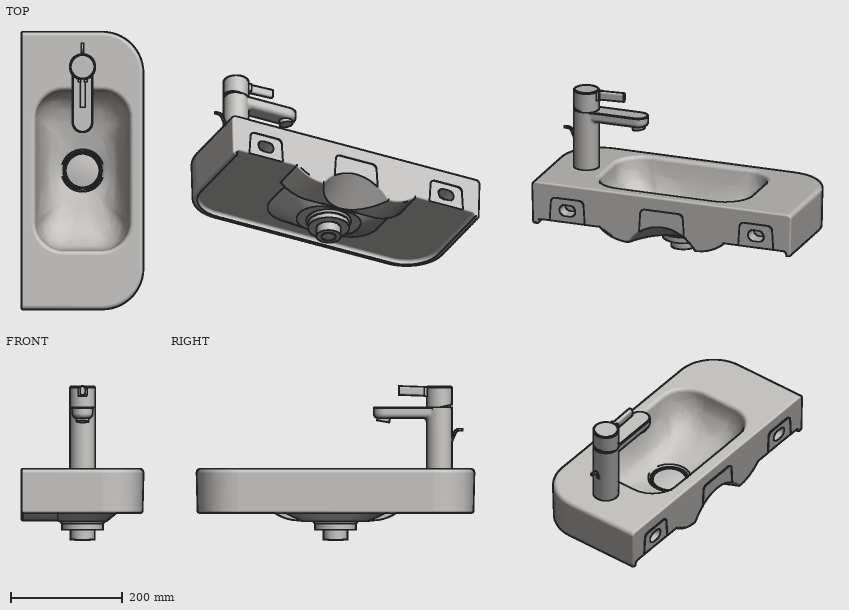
import cadquery as cq
import math


LENGTH = 500.0
DEPTH = 220.0
BLOCK_HEIGHT = 80.0
CORNER_RADIUS = 75.0
DRAFT_ANGLE = 1.4
DECK_EDGE_RADIUS = 8.0
RIM_EDGE_RADIUS = 4.5
BACK_EDGE_RADIUS = 3.5
BACK_OVERRUN = 25.0
MID_X = DEPTH / 2

SELECTION_MARGIN = 0.5

RIM_WIDTH = 11.0
FLOOR_Z = -71.5
RIM_FILLET = 5.0

MOUTH_HALF_X = 93.0
MOUTH_HALF_Y = 151.5
MOUTH_CORNER_RADIUS = 59.0
MOUTH_STRAIGHT_X = MOUTH_HALF_X - MOUTH_CORNER_RADIUS
MOUTH_STRAIGHT_Y = MOUTH_HALF_Y - MOUTH_CORNER_RADIUS
LIP_RADIUS = 7.0
THROAT_HALF_X = MOUTH_HALF_X - LIP_RADIUS
THROAT_HALF_Y = MOUTH_HALF_Y - LIP_RADIUS
BOWL_THROAT = (0.0, THROAT_HALF_X, THROAT_HALF_Y, MOUTH_STRAIGHT_X, THROAT_HALF_X, MOUTH_STRAIGHT_Y)
BOWL_MIDDLE = (-45.0, 74.0, 130.5, 27.5, 70.0, 80.0)
BOWL_FOOT = (-79.0, 49.0, 67.0, 9.0, 35.5, 56.0)

WEB_OVERLAP = 5.0
BOWL_SHELL_FOOT_Z = -95.0
BOWL_SHELL_TOP = (77.5, 117.5, 55.0, FLOOR_Z + WEB_OVERLAP)
BOWL_SHELL_FOOT = (42.5, 59.0, 41.0, BOWL_SHELL_FOOT_Z)

DRAIN_MOUTH_DIAMETER = 76.5
DRAIN_MOUTH_Z = -86.0
DRAIN_SEAT_DIAMETER = 70.0
DRAIN_SEAT_Z = -89.5
BOSS_DIAMETER = 74.0
BOSS_FLARE_DIAMETER = 81.0
BOSS_FLARE_BOTTOM_Z = -99.5
BOSS_BOTTOM_Z = -110.0
DRAIN_CUP_DIAMETER = 64.0
DRAIN_CUP_FLOOR_Z = -95.5
DRAIN_SEAT_BOTTOM_Z = BOSS_FLARE_BOTTOM_Z
TAIL_DIAMETER = 44.0
TAIL_BOTTOM_Z = -127.5
PLUG_DIAMETER = 60.0
PLUG_EDGE_Z = -90.0
PLUG_DOME_RISE = 3.0
STEM_DIAMETER = 26.0
STEM_BOTTOM_Z = -129.0

LOBE_OUTER_Y = 120.0
LOBE_MIDDLE = (93.0, -88.5)
LOBE_INNER_Y = 68.0
LOBE_BOTTOM_Z = -93.5
LOBE_REACH = 65.0
NOTCH_TOP_Z = -55.0
NOTCH_RADIUS = 81.5
NOTCH_SLOPE = 31.0
PAD_TOP_Z = -26.0
PAD_HALF_WIDTH = 34.0
CENTRE_PAD_HALF_WIDTH = 43.5
PAD_SIDE_LEAN = 3.0
PAD_CORNER_RADIUS = 9.0
PAD_RECESS = 1.5
MOUNT_Y = 181.5
MOUNT_Z = -48.5
MOUNT_SLOT_LENGTH = 30.5
MOUNT_SLOT_HEIGHT = 21.0
MOUNT_SLOT_DEPTH = 30.0

TAP_Y = 186.5
TAP_DIAMETER = 46.0
TAP_TOP_Z = 110.0
NECK_DIAMETER = 40.0
NECK_TOP_Z = 117.5
NECK_ROOT_DEPTH = 5.0
SPOUT_WIDTH = 36.5
SPOUT_END_Y = 68.5
SPOUT_BOTTOM_Z = 90.5
SPOUT_TOP_CHAMFER = 1.5
SPOUT_BOTTOM_RADIUS = 8.5
SPOUT_ROOT_RADIUS = 6.0
AERATOR_DIAMETER = 23.0
AERATOR_Y = 85.5
AERATOR_TILT = 10.0
AERATOR_BOTTOM_Z = 84.5
AERATOR_LENGTH = 12.5

KNOB_TOP_Z = 147.5
KNOB_CHAMFER = 2.0
KNOB_GAP = 5.0
LEVER_WIDTH = 9.0
LEVER_TIP_Y = 114.0
LEVER_TIP_TOP_Z = 148.5
LEVER_TIP_BOTTOM_Z = 132.0
LEVER_ROOT_TOP_Z = 146.0
LEVER_ROOT_BOTTOM_Z = 129.5
LEVER_EDGE_RADIUS = 4.0
COLLAR_WIDTH = 16.0
COLLAR_REACH = 4.0
COLLAR_RADIUS = 3.0

ROD_DIAMETER = 4.0
ROD_END = (228.5, 69.5)
ROD_BEND_START = (220.5, 69.5)
ROD_BEND_MIDDLE = (216.0, 67.0)
ROD_BEND_END = (213.5, 62.5)
ROD_FOOT = (207.5, 48.5)


def rounded_section(half_x, half_y, radius, level):
    """Rounded rectangle centred on the drain axis, as a wire at the given level."""
    plate = cq.Workplane("XY", origin=(MID_X, 0, level)).rect(2 * half_x, 2 * half_y).extrude(5)
    return plate.edges("|Z").fillet(radius).faces("<Z").wires().val()


def disc(diameter, bottom, top, centre_y=0.0):
    """Upright cylinder on the middle plane X = MID_X."""
    base = cq.Workplane("XY", origin=(MID_X, centre_y, bottom))
    return base.circle(diameter / 2).extrude(top - bottom)


def drain_circle(diameter, level):
    return cq.Wire.makeCircle(diameter / 2, cq.Vector(MID_X, 0, level), cq.Vector(0, 0, 1))


def loft(wires, ruled):
    return cq.Workplane(cq.Solid.makeLoft(wires, ruled))


def plan_outline(inset):
    """Basin outline with two round front corners, running past the wall plane at the back."""
    half = LENGTH / 2 - inset
    front = DEPTH - inset
    radius = CORNER_RADIUS - inset
    middle = radius * (1 - math.sqrt(0.5))
    return (
        cq.Workplane("XY")
        .moveTo(-BACK_OVERRUN, -half)
        .lineTo(front - radius, -half)
        .threePointArc((front - middle, -half + middle), (front, -half + radius))
        .lineTo(front, half - radius)
        .threePointArc((front - middle, half - middle), (front - radius, half))
        .lineTo(-BACK_OVERRUN, half)
        .close()
    )


def basin_block():
    """Drafted outer block with rounded edges and a recessed floor inside a rim underneath."""
    block = plan_outline(0).extrude(-BLOCK_HEIGHT, taper=DRAFT_ANGLE)
    block = block.faces(">Z").edges("not <X").fillet(DECK_EDGE_RADIUS)
    block = block.faces("<Z").edges("not <X").fillet(RIM_EDGE_RADIUS)
    recess = plan_outline(RIM_WIDTH).extrude(-BLOCK_HEIGHT).translate((0, 0, FLOOR_Z))
    recess = recess.faces(">Z").edges("not <X").fillet(RIM_FILLET)
    wall_side = cq.Workplane("XY").box(DEPTH, 2 * LENGTH, LENGTH).translate((-DEPTH / 2, 0, 0))
    return block.cut(recess).cut(wall_side)


def back_lobes():
    """Wall-side web below the floor: two lobes, each rounded on its outer side."""
    middle_y, middle_z = LOBE_MIDDLE
    return (
        cq.Workplane("YZ")
        .moveTo(LOBE_OUTER_Y, FLOOR_Z)
        .threePointArc((middle_y, middle_z), (LOBE_INNER_Y, LOBE_BOTTOM_Z))
        .lineTo(-LOBE_INNER_Y, LOBE_BOTTOM_Z)
        .threePointArc((-middle_y, middle_z), (-LOBE_OUTER_Y, FLOOR_Z))
        .lineTo(-LOBE_OUTER_Y, FLOOR_Z + WEB_OVERLAP)
        .lineTo(LOBE_OUTER_Y, FLOOR_Z + WEB_OVERLAP)
        .close()
        .extrude(LOBE_REACH)
    )


def waste_notch():
    """Round scoop that falls from the wall towards the drain, between the lobes."""
    bar = cq.Workplane("YZ").circle(NOTCH_RADIUS).extrude(DEPTH, both=True)
    bar = bar.rotate((0, 0, 0), (0, 1, 0), NOTCH_SLOPE)
    drop = NOTCH_RADIUS / math.cos(math.radians(NOTCH_SLOPE))
    reach = cq.Workplane("XY").box(2 * LOBE_REACH, LENGTH, LENGTH)
    return bar.translate((0, 0, NOTCH_TOP_Z - drop)).intersect(reach)


def mounting_pad(centre_y, half_width):
    """Shallow recess in the wall side with leaning sides and round upper corners."""
    top_half = half_width - PAD_SIDE_LEAN
    pad_bottom = FLOOR_Z - BACK_EDGE_RADIUS
    pad = (
        cq.Workplane("YZ")
        .polyline([
            (centre_y - half_width, pad_bottom),
            (centre_y + half_width, pad_bottom),
            (centre_y + top_half, PAD_TOP_Z),
            (centre_y - top_half, PAD_TOP_Z),
        ])
        .close()
        .extrude(PAD_RECESS, both=True)
    )
    return pad.edges("|X and >Z").fillet(PAD_CORNER_RADIUS)


def mounting_slot(centre_y):
    slot = cq.Workplane("YZ").center(centre_y, MOUNT_Z)
    return slot.slot2D(MOUNT_SLOT_LENGTH, MOUNT_SLOT_HEIGHT).extrude(MOUNT_SLOT_DEPTH)


def bowl_section(level, half_x, half_y, end_half, corner_x, corner_y):
    """Bowl outline with straight ends, corner arcs tangent to them and bowed long sides."""
    along_x = cq.Vector(1, 0, 0)
    right_end = cq.Vector(end_half, -half_y, 0)
    right_low = cq.Vector(corner_x, -corner_y, 0)
    right_high = cq.Vector(corner_x, corner_y, 0)
    left_end = cq.Vector(-end_half, -half_y, 0)
    edges = [
        cq.Edge.makeLine(left_end, right_end),
        cq.Edge.makeTangentArc(right_end, along_x, right_low),
        cq.Edge.makeSpline([right_low, cq.Vector(half_x, 0, 0), right_high]),
        cq.Edge.makeTangentArc(cq.Vector(end_half, half_y, 0), along_x, right_high),
    ]
    edges += [edge.rotate(cq.Vector(0, 0, 0), cq.Vector(0, 0, 1), 180) for edge in edges]
    return cq.Wire.assembleEdges(edges).moved(cq.Location(cq.Vector(MID_X, 0, level)))


def bowl_cavity():
    """Bowl from its mouth down to the drain; the lip is rounded afterwards."""
    throat = bowl_section(*BOWL_THROAT)
    middle = bowl_section(*BOWL_MIDDLE)
    foot = bowl_section(*BOWL_FOOT)
    upper = loft([throat, middle, foot], False)
    lower = loft([foot, drain_circle(DRAIN_MOUTH_DIAMETER, DRAIN_MOUTH_Z)], True)
    return upper.union(lower)


def drain_bore():
    cone = loft(
        [drain_circle(DRAIN_MOUTH_DIAMETER, DRAIN_MOUTH_Z), drain_circle(DRAIN_SEAT_DIAMETER, DRAIN_SEAT_Z)],
        True,
    )
    seat = disc(DRAIN_SEAT_DIAMETER, DRAIN_SEAT_BOTTOM_Z, DRAIN_SEAT_Z)
    return cone.union(seat).union(disc(TAIL_DIAMETER, BOSS_BOTTOM_Z, DRAIN_SEAT_Z))


def make_basin():
    body = basin_block().union(back_lobes())
    shell = loft([rounded_section(*BOWL_SHELL_TOP), rounded_section(*BOWL_SHELL_FOOT)], True)
    body = body.union(shell).cut(waste_notch())
    boss = disc(BOSS_DIAMETER, BOSS_BOTTOM_Z, DRAIN_MOUTH_Z)
    flare = loft(
        [
            drain_circle(BOSS_FLARE_DIAMETER, BOWL_SHELL_FOOT_Z),
            drain_circle(BOSS_DIAMETER, BOSS_FLARE_BOTTOM_Z),
        ],
        True,
    )
    body = body.union(boss).union(flare)
    body = body.faces("<X").edges().fillet(BACK_EDGE_RADIUS)
    body = body.cut(mounting_pad(0, CENTRE_PAD_HALF_WIDTH))
    for side in (1, -1):
        body = body.cut(mounting_pad(side * MOUNT_Y, PAD_HALF_WIDTH))
        body = body.cut(mounting_slot(side * MOUNT_Y))
    body = body.cut(bowl_cavity())
    lip_corner = (MID_X + MOUTH_HALF_X, MOUTH_HALF_Y, SELECTION_MARGIN)
    lip = cq.selectors.BoxSelector((MID_X - MOUTH_HALF_X, -MOUTH_HALF_Y, -SELECTION_MARGIN), lip_corner)
    body = body.edges(lip).fillet(LIP_RADIUS)
    return body.cut(drain_bore())


def make_drain():
    """Cup in the basin outlet with a tail pipe bored for the plug stem."""
    cup = disc(DRAIN_SEAT_DIAMETER, DRAIN_SEAT_BOTTOM_Z, DRAIN_SEAT_Z)
    cup = cup.cut(disc(DRAIN_CUP_DIAMETER, DRAIN_CUP_FLOOR_Z, DRAIN_SEAT_Z))
    tail = disc(TAIL_DIAMETER, TAIL_BOTTOM_Z, DRAIN_SEAT_BOTTOM_Z)
    return cup.union(tail).cut(disc(STEM_DIAMETER, TAIL_BOTTOM_Z, DRAIN_CUP_FLOOR_Z))


def make_plug():
    """Domed plug that rests on the cup floor, with a stem down through the tail."""
    half_edge = PLUG_DIAMETER / 2
    top = PLUG_EDGE_Z + PLUG_DOME_RISE
    dome_radius = (half_edge**2 + PLUG_DOME_RISE**2) / (2 * PLUG_DOME_RISE)
    dome_x = half_edge / 2
    dome_z = top - dome_radius + math.sqrt(dome_radius**2 - dome_x**2)
    return (
        cq.Workplane("XZ", origin=(MID_X, 0, 0))
        .moveTo(0, top)
        .threePointArc((dome_x, dome_z), (half_edge, PLUG_EDGE_Z))
        .lineTo(half_edge, DRAIN_CUP_FLOOR_Z)
        .lineTo(STEM_DIAMETER / 2, DRAIN_CUP_FLOOR_Z)
        .lineTo(STEM_DIAMETER / 2, STEM_BOTTOM_Z)
        .lineTo(0, STEM_BOTTOM_Z)
        .close()
        .revolve(360, (0, 0, 0), (0, 1, 0))
    )


def make_aerator():
    """Outlet nozzle leaning towards the bowl, partly sunk into the spout."""
    nozzle = cq.Workplane("XY").circle(AERATOR_DIAMETER / 2).extrude(AERATOR_LENGTH)
    nozzle = nozzle.rotate((0, 0, 0), (1, 0, 0), -AERATOR_TILT)
    return nozzle.translate((MID_X, AERATOR_Y, AERATOR_BOTTOM_Z))


def make_lift_rod():
    path = (
        cq.Workplane("YZ", origin=(MID_X, 0, 0))
        .moveTo(*ROD_END)
        .lineTo(*ROD_BEND_START)
        .threePointArc(ROD_BEND_MIDDLE, ROD_BEND_END)
        .lineTo(*ROD_FOOT)
    )
    end_y, end_z = ROD_END
    profile = cq.Workplane("XZ", origin=(MID_X, end_y, end_z)).circle(ROD_DIAMETER / 2)
    return profile.sweep(path, transition="round")


def spout():
    """Flat arm with a round end, softened underneath."""
    end_radius = SPOUT_WIDTH / 2
    arm = (
        cq.Workplane("XY", origin=(MID_X, 0, SPOUT_BOTTOM_Z))
        .moveTo(-end_radius, TAP_Y)
        .lineTo(-end_radius, SPOUT_END_Y + end_radius)
        .threePointArc((0, SPOUT_END_Y), (end_radius, SPOUT_END_Y + end_radius))
        .lineTo(end_radius, TAP_Y)
        .close()
        .extrude(TAP_TOP_Z - SPOUT_BOTTOM_Z)
    )
    arm = arm.faces(">Z").edges("not >Y").chamfer(SPOUT_TOP_CHAMFER)
    return arm.faces("<Z").edges("not >Y").fillet(SPOUT_BOTTOM_RADIUS)


def make_tap(aerator, lift_rod):
    """Column, spout and the neck the handle turns on, bored for the aerator and lift rod."""
    tap = disc(TAP_DIAMETER, 0, TAP_TOP_Z, TAP_Y).union(spout())
    radius = TAP_DIAMETER / 2
    root_low = (MID_X - radius, TAP_Y - radius - SPOUT_ROOT_RADIUS, SPOUT_BOTTOM_Z - SELECTION_MARGIN)
    root_high = (MID_X + radius, TAP_Y - radius / 2, TAP_TOP_Z - SPOUT_TOP_CHAMFER - SELECTION_MARGIN)
    root = cq.selectors.BoxSelector(root_low, root_high)
    tap = tap.edges(root).fillet(SPOUT_ROOT_RADIUS)
    tap = tap.union(disc(NECK_DIAMETER, TAP_TOP_Z - NECK_ROOT_DEPTH, NECK_TOP_Z, TAP_Y))
    return tap.cut(aerator).cut(lift_rod)


def lever():
    """Slightly rising bar with rounded long edges, and the collar at its root."""
    front_y = TAP_Y - TAP_DIAMETER / 2
    bar = (
        cq.Workplane("YZ", origin=(MID_X, 0, 0))
        .polyline([
            (TAP_Y, LEVER_ROOT_BOTTOM_Z),
            (LEVER_TIP_Y, LEVER_TIP_BOTTOM_Z),
            (LEVER_TIP_Y, LEVER_TIP_TOP_Z),
            (TAP_Y, LEVER_ROOT_TOP_Z),
        ])
        .close()
        .extrude(LEVER_WIDTH / 2, both=True)
    )
    bar = bar.faces(">Z or <Z").edges("not |X").fillet(LEVER_EDGE_RADIUS)
    collar_height = LEVER_ROOT_TOP_Z - LEVER_ROOT_BOTTOM_Z
    collar = cq.Workplane("XY").box(COLLAR_WIDTH, 2 * COLLAR_REACH, collar_height)
    collar = collar.edges("|Y").fillet(COLLAR_RADIUS)
    return bar.union(collar.translate((MID_X, front_y, LEVER_ROOT_BOTTOM_Z + collar_height / 2)))


def make_handle():
    """Knob with the lever; its underside is cut away at the back and bored for the neck."""
    knob = disc(TAP_DIAMETER, TAP_TOP_Z, KNOB_TOP_Z, TAP_Y).faces(">Z").chamfer(KNOB_CHAMFER)
    back_y = TAP_Y + TAP_DIAMETER / 2
    gap = (
        cq.Workplane("YZ", origin=(MID_X, 0, 0))
        .polyline([(TAP_Y, TAP_TOP_Z), (back_y, TAP_TOP_Z), (back_y, TAP_TOP_Z + KNOB_GAP)])
        .close()
        .extrude(TAP_DIAMETER, both=True)
    )
    neck_bore = disc(NECK_DIAMETER, TAP_TOP_Z, NECK_TOP_Z, TAP_Y)
    return knob.union(lever()).cut(gap).cut(neck_bore)


basin = make_basin()
drain = make_drain()
plug = make_plug()
aerator = make_aerator()
lift_rod = make_lift_rod()
tap = make_tap(aerator, lift_rod)
handle = make_handle()

bodies = [basin, drain, plug, aerator, lift_rod, tap, handle]
result = cq.Compound.makeCompound([body.val() for body in bodies])